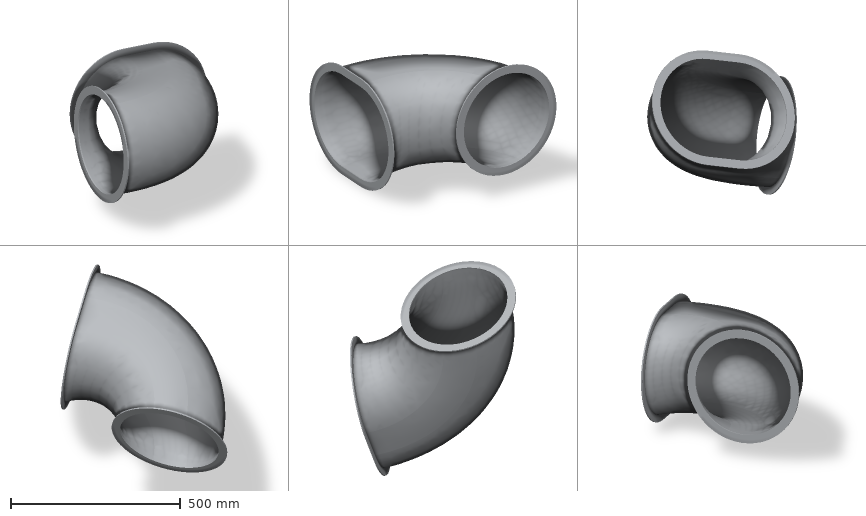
import cadquery as cq
import math

BORE_DIAMETER = 300.0
WALL = 3.0
FLANGE_DIAMETER = 351.0
FLANGE_THICKNESS = 4.0
FLAT_LENGTH = 100.0
OVERALL = 525.5
RISE = 50.0
LOFT_STEPS = 8

pipe_diameter = BORE_DIAMETER + 2 * WALL
flange_radius = FLANGE_DIAMETER / 2
half_flat = FLAT_LENGTH / 2
oblong_centre_y = OVERALL - flange_radius - half_flat
round_centre_x = OVERALL - flange_radius
oblong_centre_z = flange_radius
round_centre_z = oblong_centre_z + RISE


def blend(start, end, fraction):
    """Value part of the way from the oblong end to the round end."""
    return start + (end - start) * fraction


def section(radius, fraction):
    """Closed section, oblong at fraction 0 and circular at fraction 1.

    Its plane turns about a vertical axis through the crossing of the flange back faces.
    """
    turn = fraction * math.pi / 2
    centre_distance = blend(
        oblong_centre_y - FLANGE_THICKNESS, round_centre_x - FLANGE_THICKNESS, fraction
    )
    centre_z = blend(oblong_centre_z, round_centre_z, fraction)
    half_width = blend(half_flat + radius, radius, fraction)
    corner_height = blend(radius, math.sqrt(radius**2 - half_flat**2), fraction)

    def place(across, up):
        distance = centre_distance + across
        return cq.Vector(
            FLANGE_THICKNESS + distance * math.sin(turn),
            FLANGE_THICKNESS + distance * math.cos(turn),
            centre_z + up,
        )

    def crown(start_across, side):
        """Top or bottom edge: straight on the oblong, bowed elsewhere."""
        start = place(start_across, side * corner_height)
        end = place(-start_across, side * corner_height)
        if fraction == 0:
            return cq.Edge.makeLine(start, end)
        return cq.Edge.makeThreePointArc(start, place(0, side * radius), end)

    def flank(side):
        """Rounded edge on the outer (+1) or inner (-1) side of the bend."""
        return cq.Edge.makeThreePointArc(
            place(side * half_flat, -side * corner_height),
            place(side * half_width, 0),
            place(side * half_flat, side * corner_height),
        )

    return cq.Wire.assembleEdges([flank(1), crown(half_flat, 1), flank(-1), crown(-half_flat, -1)])


def oblong_plate(width, thickness):
    """Oblong slab standing on the YZ plane, centred on the oblong opening."""
    return (
        cq.Workplane("YZ", origin=(0, oblong_centre_y, oblong_centre_z))
        .slot2D(FLAT_LENGTH + width, width)
        .extrude(thickness)
    )


def round_plate(diameter, thickness):
    """Round slab standing on the XZ plane, centred on the round opening."""
    return (
        cq.Workplane("XZ", origin=(round_centre_x, 0, round_centre_z))
        .circle(diameter / 2)
        .extrude(-thickness)
    )


def duct_volume(diameter):
    """Bend of the given end diameter with a straight collar through each flange."""
    sections = [section(diameter / 2, step / LOFT_STEPS) for step in range(LOFT_STEPS + 1)]
    bend = cq.Workplane(cq.Solid.makeLoft(sections))
    return (
        bend.union(oblong_plate(diameter, FLANGE_THICKNESS))
        .union(round_plate(diameter, FLANGE_THICKNESS))
    )


duct_envelope = duct_volume(pipe_diameter)
elbow = duct_envelope.cut(duct_volume(BORE_DIAMETER))

oblong_flange = oblong_plate(FLANGE_DIAMETER, FLANGE_THICKNESS).cut(
    oblong_plate(pipe_diameter, FLANGE_THICKNESS)
)
round_flange = round_plate(FLANGE_DIAMETER, FLANGE_THICKNESS).cut(
    round_plate(pipe_diameter, FLANGE_THICKNESS)
)

result = cq.Compound.makeCompound([elbow.val(), oblong_flange.val(), round_flange.val()])